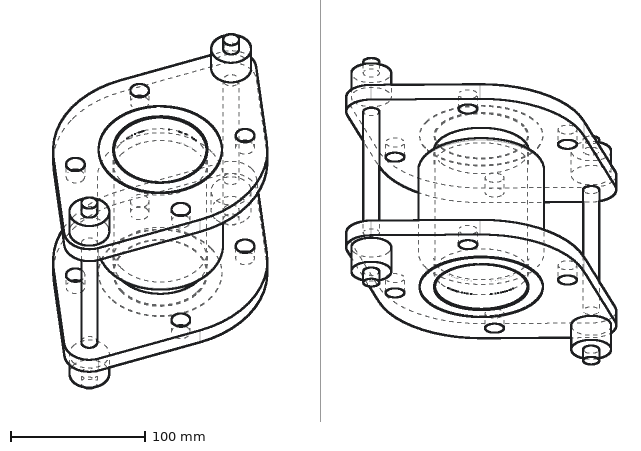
import cadquery as cq
import math

overall_length = 240.9
flange_radius = 80.0
tip_radius = 18.8
flange_outer_z = 64.0
flange_thickness = 12.5
bolt_offset = 46.0
bolt_hole_diameter = 14.0

face_radius = 46.0
face_height = 0.7
face_bore_radius = 35.2

bore_radius = 34.5
neck_radius = 35.5
body_radius = 47.0
body_half_height = 37.5
body_fillet = 3.0

rod_diameter = 12.0
rod_length = 188.0
collar_diameter = 29.9
collar_height = 20.5

rod_offset = overall_length / 2 - tip_radius
flange_inner_z = flange_outer_z - flange_thickness
face_z = flange_outer_z + face_height


def cylinder_along_z(radius, bottom, top, y=0.0):
    """Upright cylinder between two heights, centred at x = 0 and the given y."""
    return cq.Workplane("XY", origin=(0, y, bottom)).circle(radius).extrude(top - bottom)


def make_flange():
    """Upper flange: a large arc on each side joined tangentially to the two tip arcs."""
    normal_y = (flange_radius - tip_radius) / rod_offset
    normal_x = math.sqrt(1 - normal_y**2)
    side_x = flange_radius * normal_x
    side_y = flange_radius * normal_y
    tip_x = tip_radius * normal_x
    tip_y = rod_offset + tip_radius * normal_y
    plate = (
        cq.Workplane("XY")
        .workplane(offset=flange_inner_z)
        .moveTo(side_x, -side_y)
        .threePointArc((flange_radius, 0), (side_x, side_y))
        .lineTo(tip_x, tip_y)
        .threePointArc((0, overall_length / 2), (-tip_x, tip_y))
        .lineTo(-side_x, side_y)
        .threePointArc((-flange_radius, 0), (-side_x, -side_y))
        .lineTo(-tip_x, -tip_y)
        .threePointArc((0, -overall_length / 2), (tip_x, -tip_y))
        .close()
        .extrude(flange_thickness)
    )
    bolt_holes = (
        cq.Workplane("XY")
        .workplane(offset=flange_inner_z)
        .rect(2 * bolt_offset, 2 * bolt_offset, forConstruction=True)
        .vertices()
        .circle(bolt_hole_diameter / 2)
        .extrude(flange_thickness)
    )
    raised_face = cylinder_along_z(face_radius, flange_outer_z, face_z)
    return plate.cut(bolt_holes).union(raised_face)


def make_sleeve():
    """Fat body with rounded rims, blended by a concave fillet into the thinner necks."""
    body = cylinder_along_z(body_radius, -body_half_height, body_half_height)
    neck = cylinder_along_z(neck_radius, -flange_inner_z, flange_inner_z)
    rims_and_roots = cq.selectors.BoxSelector(
        (-2 * body_radius, -2 * body_radius, -body_half_height - body_fillet),
        (2 * body_radius, 2 * body_radius, body_half_height + body_fillet),
    )
    return body.union(neck).edges("%CIRCLE").edges(rims_and_roots).fillet(body_fillet)


def make_tie_rod(y):
    """Full-length rod with a collar seated on the outside of each flange."""
    collar_radius = collar_diameter / 2
    collar_outer_z = flange_outer_z + collar_height
    rod = cylinder_along_z(rod_diameter / 2, -rod_length / 2, rod_length / 2, y)
    upper_collar = cylinder_along_z(collar_radius, flange_outer_z, collar_outer_z, y)
    lower_collar = cylinder_along_z(collar_radius, -collar_outer_z, -flange_outer_z, y)
    return rod.union(upper_collar).union(lower_collar)


def make_bore():
    """Through bore, slightly wider where it passes through the raised faces."""
    bore = cylinder_along_z(bore_radius, -face_z, face_z)
    upper_mouth = cylinder_along_z(face_bore_radius, flange_outer_z, face_z)
    lower_mouth = cylinder_along_z(face_bore_radius, -face_z, -flange_outer_z)
    return bore.union(upper_mouth).union(lower_mouth)


flange = make_flange()
result = make_sleeve().union(flange).union(flange.mirror("XY"))
for side in (-1, 1):
    result = result.union(make_tie_rod(side * rod_offset))
result = result.cut(make_bore())